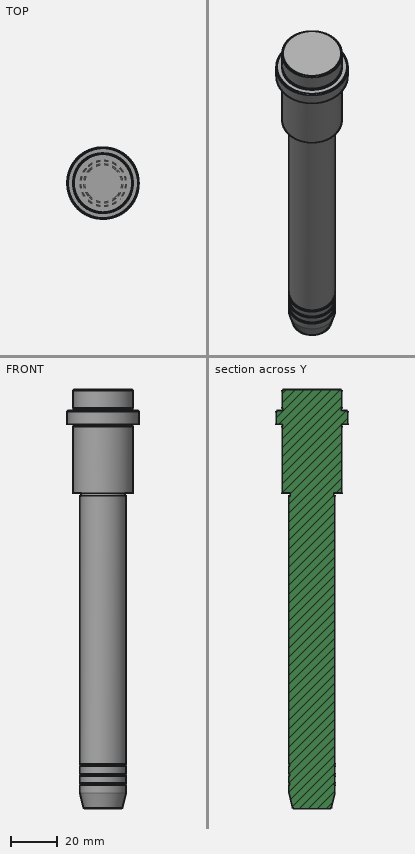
import cadquery as cq

length = 180.0

head_radius = 13.0
head_chamfer = 0.5
collar_radius = 15.5
collar_top = 171.0
collar_bottom = 165.0
collar_chamfer = 0.5
head_bottom = 135.5

relief_width = 1.0
relief_depth = 0.4

shaft_diameter = 20.0
shaft_radius = shaft_diameter / 2
shaft_top = 134.3
neck_radius = 9.5

groove_centers = (10.6, 14.5, 18.7)
groove_width = 1.0
groove_depth = 0.4

taper_height = 6.8
tip_radius = 8.5
tip_chamfer = 0.5


def cylinder(radius, bottom, top):
    """Solid cylinder on the Z axis between two heights."""
    return cq.Workplane("XY").workplane(offset=bottom).circle(radius).extrude(top - bottom)


def ring_groove(surface_radius, width, depth, center):
    """Ring-shaped cutter for a V groove in a cylinder's surface."""
    return (
        cq.Workplane("XZ")
        .moveTo(surface_radius - depth, center)
        .lineTo(surface_radius, center + width / 2)
        .lineTo(surface_radius + depth, center)
        .lineTo(surface_radius, center - width / 2)
        .close()
        .revolve(360, (0, 0), (0, 1))
    )


head = cylinder(head_radius, head_bottom, length).faces(">Z").chamfer(head_chamfer)
for center in (collar_top + relief_width / 2, collar_bottom - relief_width / 2):
    head = head.cut(ring_groove(head_radius, relief_width, relief_depth, center))

collar = cylinder(collar_radius, collar_bottom, collar_top).faces(">Z").chamfer(collar_chamfer)

shaft = cylinder(shaft_radius, taper_height, shaft_top)
for center in groove_centers:
    shaft = shaft.cut(ring_groove(shaft_radius, groove_width, groove_depth, center))

neck = cylinder(neck_radius, shaft_top, head_bottom)

tip = (
    cq.Workplane("XZ")
    .moveTo(0, 0)
    .lineTo(tip_radius - tip_chamfer, 0)
    .lineTo(tip_radius, tip_chamfer)
    .lineTo(shaft_radius, taper_height)
    .lineTo(0, taper_height)
    .close()
    .revolve(360, (0, 0), (0, 1))
)

result = head.union(collar).union(neck).union(shaft).union(tip)